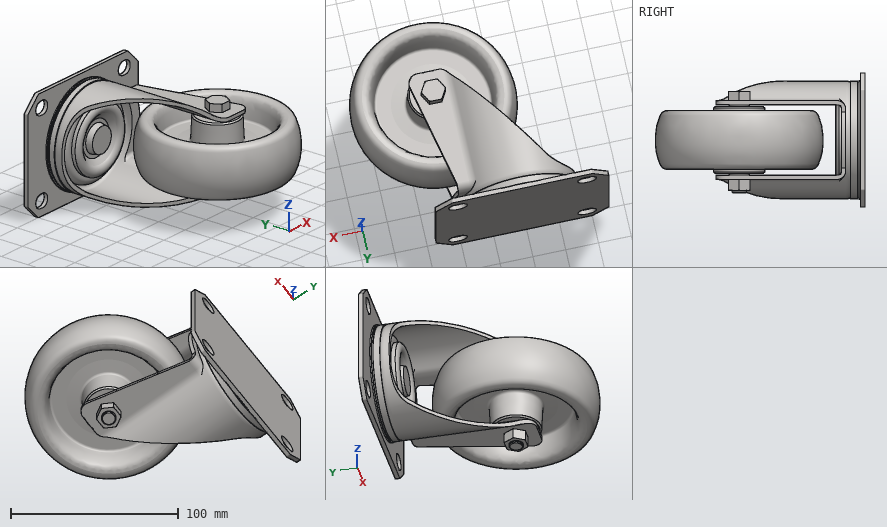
import cadquery as cq
import math


wheel_radius = 50.0
axle_x = 37.8
axle_y = -75.0

plate_length = 105.4
plate_width = 80.0
plate_thickness = 2.8
plate_corner = 10.1
plate_edge_round = 1.4
slot_length = 11.2
slot_width = 9.3
slot_pitch_x = 78.7
slot_pitch_z = 60.1
collar_radius = 35.5
collar_neck_radius = 34.5
collar_lip = 0.8
collar_bottom = -4.6

ring_radius = 35.1
ring_bore = 28.1
ring_bottom = -8.9

sheet = 2.5
crown_radius = 35.1
crown_shoulder = -11.4
crown_round = 5.5
leg_half_width = 23.5
leg_blend = 6.6
leg_top = -11.7
leg_bend = 4.9
leg_end = -88.9
lip_bottom = -14.6
lip_arc = 19.7
leg_front_angle = 54.4
leg_corner_x = 28.8
leg_back_top_x = 36.4
leg_back_slope = 0.22
leg_corner_radius = 6.0
tab_radius = 40.0
boss_face_radius = 25.1

cup_radius = 23.6
cup_wall_bottom = -15.6
cup_crest = -17.5
cup_ridge_inner = 16.3
cup_floor_radius = 12.5
cup_floor = -12.6

pin_base_radius = 9.8
pin_tip_radius = 9.0
pin_tip = -17.1

tread_half_width = 17.5
shoulder_radius = 47.9
shoulder_half_width = 12.6
rim_radius = 42.4
bowl_radius = 35.1
web_radius = 33.6
web_cone_radius = 25.1
hub_base_radius = 17.5
hub_root_radius = 16.0
hub_tip_radius = 15.3
hub_half_width = 20.0
hub_edge = 1.0
web_half = 2.0
web_half_at_hub = 2.5
bowl_wall_lean = 0.2

sleeve_radius = 6.0
bolt_radius = 4.4
hex_flats = 12.9
hex_chamfer = 0.4
head_height = 5.5
nut_height = 6.6
bolt_protrusion = 1.4
bolt_chamfer = 0.5

leg_inner = leg_half_width - sheet
crown_inner = crown_radius - sheet
crown_round_inner = crown_round - sheet
crown_ridge = crown_radius - crown_round
crown_top = crown_shoulder + crown_round
boss_round = crown_ridge - boss_face_radius
valley_top = crown_top - sheet
boss_face = valley_top - boss_round
hub_fillet = hub_base_radius - hub_root_radius
bowl_fillet = bowl_radius - web_radius
hex_corners = hex_flats / math.cos(math.radians(30))


def cylinder_y(radius, top, bottom):
    """Cylinder on the swivel axis between two Y levels."""
    return cq.Workplane("XZ", origin=(0, top, 0)).circle(radius).extrude(top - bottom)


def along_axle(z):
    """Workplane square to the axle at height z, centred on the axle."""
    return cq.Workplane("XY", origin=(axle_x, axle_y, z))


def spin_y(profile):
    """Revolve a closed (radius, Y) profile about the swivel axis."""
    return profile.close().revolve(360, (0, 0, 0), (0, 1, 0))


def point_on_arc(centre, radius, angle):
    """Point at an angle, in degrees, on a circle in the profile plane."""
    turn = math.radians(angle)
    return (centre[0] + radius * math.cos(turn), centre[1] + radius * math.sin(turn))


def make_plate():
    """Mounting plate with four slots and a stepped collar facing the seal ring."""
    blank = cq.Workplane("XZ").rect(plate_length, plate_width).extrude(plate_thickness)
    blank = blank.edges("|Y").chamfer(plate_corner).edges("|Y").fillet(plate_edge_round)
    slots = (
        cq.Workplane("XZ")
        .rect(slot_pitch_x, slot_pitch_z, forConstruction=True)
        .vertices()
        .slot2D(slot_length, slot_width)
        .extrude(plate_thickness)
    )
    lip_level = -plate_thickness - collar_lip
    collar = cylinder_y(collar_radius, -plate_thickness, lip_level)
    neck = cylinder_y(collar_neck_radius, lip_level, collar_bottom)
    return blank.cut(slots).union(collar).union(neck)


def crown_solid():
    """Solid of revolution under the crown's outer skin."""
    centre = (crown_ridge, crown_shoulder)
    return spin_y(
        cq.Workplane("XY")
        .moveTo(0, crown_top)
        .lineTo(crown_ridge, crown_top)
        .threePointArc(point_on_arc(centre, crown_round, 45), (crown_radius, crown_shoulder))
        .lineTo(crown_radius, leg_end)
        .lineTo(0, leg_end)
    )


def crown_cavity():
    """Room under the crown: a rounded annular valley around the boss that carries the cup."""
    valley_centre = (crown_ridge, crown_shoulder)
    boss_centre = (boss_face_radius, boss_face + boss_round)
    return spin_y(
        cq.Workplane("XY")
        .moveTo(0, boss_face)
        .lineTo(boss_face_radius, boss_face)
        .threePointArc(point_on_arc(boss_centre, boss_round, -45), (crown_ridge, valley_top))
        .threePointArc(point_on_arc(valley_centre, crown_round_inner, 45), (crown_inner, crown_shoulder))
        .lineTo(crown_inner, leg_end)
        .lineTo(0, leg_end)
    )


def make_seal_ring():
    """Ring between the plate's collar and the fork, fitted to the rounded crown."""
    blank = cylinder_y(ring_radius, collar_bottom, ring_bottom)
    return blank.cut(cylinder_y(ring_bore, collar_bottom, ring_bottom)).cut(crown_solid())


def fork_section(top, radius, half_width, blend, reach):
    """Prism below `top`: a disc running into a straight band through tangent blends."""
    centre_z = leg_half_width + leg_blend
    centre_x = math.sqrt((crown_radius + leg_blend) ** 2 - centre_z**2)
    angle = math.atan2(centre_z, centre_x)
    tangent = (radius * math.cos(angle), radius * math.sin(angle))
    middle = (angle - math.pi / 2) / 2
    mid = (centre_x + blend * math.sin(middle), centre_z - blend * math.cos(middle))
    return (
        cq.Workplane("XZ", origin=(0, top, 0))
        .moveTo(reach, -half_width)
        .lineTo(reach, half_width)
        .lineTo(centre_x, half_width)
        .threePointArc(mid, tangent)
        .threePointArc((-radius, 0), (tangent[0], -tangent[1]))
        .threePointArc((mid[0], -mid[1]), (centre_x, -half_width))
        .close()
        .extrude(top - leg_end)
    )


def leg_outline():
    """Side shape of the legs, as a slab wide enough for the whole fork."""
    slope = math.radians(leg_front_angle)
    bend_x = leg_corner_x - (lip_bottom - leg_end) / math.tan(slope)
    back_end_x = leg_back_top_x + leg_back_slope * (leg_top - leg_bend - leg_end)
    slab = (
        cq.Workplane("XY", origin=(0, 0, -crown_radius))
        .moveTo(-2 * crown_radius, crown_top)
        .lineTo(leg_back_top_x, crown_top)
        .lineTo(leg_back_top_x, leg_top - leg_bend)
        .lineTo(back_end_x, leg_end)
        .lineTo(leg_corner_x, leg_end)
        .lineTo(bend_x, lip_bottom)
        .lineTo(-2 * crown_radius, lip_bottom)
        .close()
        .extrude(2 * crown_radius)
    )
    for corner_x in (leg_corner_x, back_end_x):
        corner = cq.NearestToPointSelector((corner_x, leg_end, 0))
        slab = slab.edges(corner).fillet(leg_corner_radius)
    return slab.edges(cq.NearestToPointSelector((bend_x, lip_bottom, 0))).fillet(lip_arc)


def axle_holes():
    """Cutter for the bolt holes in both legs."""
    return along_axle(-leg_half_width).circle(bolt_radius).extrude(2 * leg_half_width)


def make_fork():
    """Pressed fork: domed crown, two legs, rear tab and the axle holes."""
    reach = axle_x + wheel_radius
    body = fork_section(leg_top, crown_radius, leg_half_width, leg_blend, reach)
    body = body.faces(">Y").edges("not(>X)").fillet(leg_bend)
    body = body.union(crown_solid())
    hollow = fork_section(leg_top - sheet, crown_inner, leg_inner, leg_blend + sheet, reach)
    hollow = hollow.faces(">Y").edges("not(>X)").fillet(leg_bend - sheet)
    body = body.cut(hollow.union(crown_cavity())).intersect(leg_outline())

    tab_width = 2 * (leg_inner - leg_bend + sheet)
    tab_window = cq.Workplane("XY", origin=(0, leg_top - sheet, 0)).box(
        tab_radius, sheet, tab_width, centered=(False, False, True)
    )
    tab = cylinder_y(tab_radius, leg_top, leg_top - sheet).intersect(tab_window)
    body = body.union(tab.cut(crown_cavity()))

    cup_seat = cylinder_y(cup_radius, crown_top, boss_face)
    return body.cut(cup_seat).cut(axle_holes())


def make_cup():
    """Bearing cup pressed into the crown, with a rounded ridge around the kingpin."""
    ridge_middle = (cup_radius + cup_ridge_inner) / 2
    return spin_y(
        cq.Workplane("XY")
        .moveTo(pin_base_radius, crown_top)
        .lineTo(cup_radius, crown_top)
        .lineTo(cup_radius, cup_wall_bottom)
        .threePointArc((ridge_middle, cup_crest), (cup_ridge_inner, cup_wall_bottom))
        .lineTo(cup_floor_radius, cup_floor)
        .lineTo(pin_base_radius, cup_floor)
    )


def make_kingpin():
    """Pin from the plate through the cup, tapered at its free end."""
    return spin_y(
        cq.Workplane("XY")
        .moveTo(0, collar_bottom)
        .lineTo(pin_base_radius, collar_bottom)
        .lineTo(pin_base_radius, cup_floor)
        .lineTo(pin_tip_radius, pin_tip)
        .lineTo(0, pin_tip)
    )


def make_wheel():
    """Wheel with a rounded tread, dished web and a tapered hub on both sides."""
    root_centre = (hub_base_radius, web_half_at_hub + hub_fillet)
    bowl_centre = (web_radius, web_half + bowl_fillet)
    half_core = (
        cq.Workplane("XZ")
        .moveTo(sleeve_radius, 0)
        .lineTo(sleeve_radius, hub_half_width)
        .lineTo(hub_tip_radius - hub_edge, hub_half_width)
        .lineTo(hub_tip_radius, hub_half_width - hub_edge)
        .lineTo(hub_root_radius, root_centre[1])
        .threePointArc(point_on_arc(root_centre, hub_fillet, 225), (hub_base_radius, web_half_at_hub))
        .lineTo(web_cone_radius, web_half)
        .lineTo(web_radius, web_half)
        .threePointArc(point_on_arc(bowl_centre, bowl_fillet, -45), (bowl_radius, bowl_centre[1]))
        .lineTo(bowl_radius, 0)
        .close()
        .revolve(360, (0, 0, 0), (0, 1, 0))
    )
    tread_curve = [
        (rim_radius, tread_half_width),
        (shoulder_radius, shoulder_half_width),
        (wheel_radius, 0),
        (shoulder_radius, -shoulder_half_width),
        (rim_radius, -tread_half_width),
    ]
    wall_out = (bowl_wall_lean, 1)
    wall_in = (-bowl_wall_lean, 1)
    tyre = (
        cq.Workplane("XZ")
        .moveTo(bowl_radius, bowl_centre[1])
        .spline(tread_curve[:1], tangents=[wall_out, (1, 0)], includeCurrent=True)
        .spline(tread_curve[1:], tangents=[(1, 0), None, (0, -1), None, (-1, 0)], includeCurrent=True)
        .spline([(bowl_radius, -bowl_centre[1])], tangents=[(-1, 0), wall_in], includeCurrent=True)
        .close()
        .revolve(360, (0, 0, 0), (0, 1, 0))
    )
    core = half_core.union(half_core.mirror("XY"))
    return core.union(tyre).translate((axle_x, axle_y, 0))


def make_sleeve():
    """Tube around the bolt that spaces the fork legs apart."""
    return along_axle(-leg_inner).circle(sleeve_radius).circle(bolt_radius).extrude(2 * leg_inner)


def hexagon(base, height):
    """Hexagonal prism on the axle whose outer corners are turned off."""
    prism = along_axle(base).polygon(6, hex_corners).extrude(height)
    envelope = along_axle(base).circle(hex_corners / 2 + hex_chamfer / 4).extrude(height)
    outer_face = ">Z" if height > 0 else "<Z"
    return prism.intersect(envelope.faces(outer_face).chamfer(hex_chamfer))


def make_bolt():
    """Hexagon bolt through legs, sleeve and nut."""
    tip = -leg_half_width - nut_height - bolt_protrusion
    shank = along_axle(tip).circle(bolt_radius).extrude(leg_half_width - tip)
    shank = shank.faces("<Z").chamfer(bolt_chamfer)
    return shank.union(hexagon(leg_half_width, head_height))


def make_nut():
    """Hexagon nut against the outer face of the lower leg."""
    hole = along_axle(-leg_half_width).circle(bolt_radius).extrude(-nut_height)
    return hexagon(-leg_half_width, -nut_height).cut(hole)


plate = make_plate()
seal_ring = make_seal_ring()
fork = make_fork()
cup = make_cup()
kingpin = make_kingpin()
wheel = make_wheel()
sleeve = make_sleeve()
bolt = make_bolt()
nut = make_nut()

bodies = [plate, seal_ring, fork, cup, kingpin, wheel, sleeve, bolt, nut]
result = cq.Compound.makeCompound([body.val() for body in bodies])